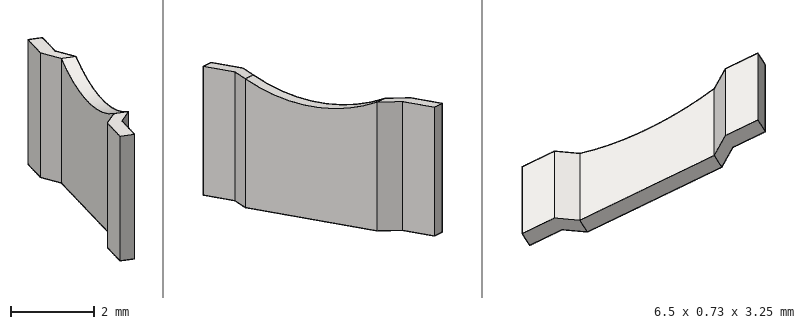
import cadquery as cq

length = 6.5
depth = 0.73
height = 3.25

thickness = 0.38
foot_length = 0.9
bridge_length = 3.705
scoop_depth = 0.4

half_length = length / 2
half_bridge = bridge_length / 2
bend_x = half_length - foot_length
foot_front = -depth / 2
foot_back = foot_front + thickness
bridge_back = depth / 2
bridge_front = bridge_back - thickness
bottom = -height / 2
top = height / 2


def make_bridge():
    """Raised middle plate with a shallow arc scooped from its top edge."""
    return (
        cq.Workplane("XZ", origin=(0, bridge_back, 0))
        .moveTo(-half_bridge, bottom)
        .lineTo(half_bridge, bottom)
        .lineTo(half_bridge, top)
        .threePointArc((0, top - scoop_depth), (-half_bridge, top))
        .close()
        .extrude(thickness)
    )


def make_terminal(side):
    """Flat foot and sloping web at one end; side is -1 for left, +1 for right."""
    outline = [
        (side * half_bridge, bridge_front),
        (side * bend_x, foot_front),
        (side * half_length, foot_front),
        (side * half_length, foot_back),
        (side * bend_x, foot_back),
        (side * half_bridge, bridge_back),
    ]
    return cq.Workplane("XY", origin=(0, 0, bottom)).polyline(outline).close().extrude(height)


bridge = make_bridge()
terminals = [make_terminal(side) for side in (-1, 1)]

result = cq.Compound.makeCompound([bridge.val(), *[terminal.val() for terminal in terminals]])